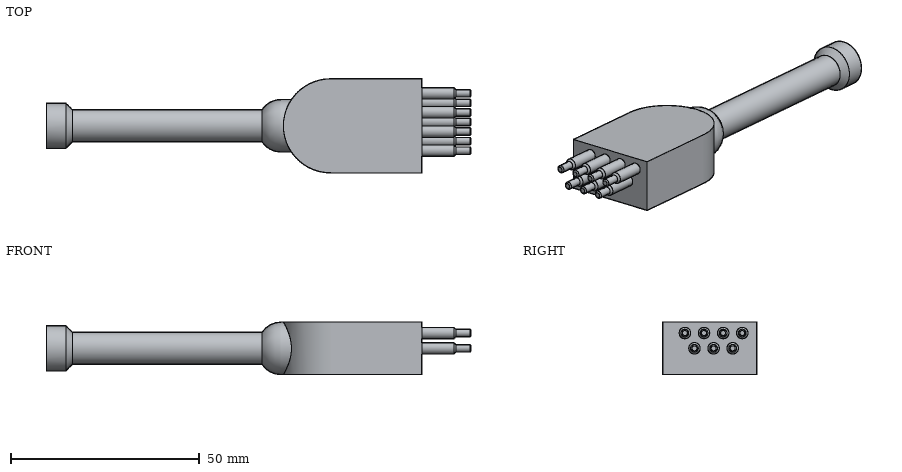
import cadquery as cq
import math

TOTAL_LENGTH = 112.5
BODY_END = 99.5

HEAD_DIAMETER = 12.0
HEAD_LENGTH = 5.2
SHAFT_DIAMETER = 8.5

BODY_WIDTH = 25.0
BODY_THICKNESS = 14.0
BODY_NOSE = 62.8

COLLAR_RADIUS = BODY_THICKNESS / 2
COLLAR_ROUND_RADIUS = 6.0
COLLAR_ROUND_END = 62.1

PIN_DIAMETER = 3.0
PIN_TIP_DIAMETER = 2.0
PIN_TIP_START = 108.5
PIN_SHOULDER_LENGTH = 0.6
PIN_TIP_CHAMFER = 0.3

PIN_PITCH = 5.1
PIN_ARRAY_Y = 1.0
UPPER_ROW_COUNT = 4
UPPER_ROW_Z = 4.0
LOWER_ROW_COUNT = 3
LOWER_ROW_Z = 0.0


def make_cable_side():
    """Head, shaft and collar, revolved in one piece about the X axis."""
    head_radius = HEAD_DIAMETER / 2
    shaft_radius = SHAFT_DIAMETER / 2
    head_cone_end = HEAD_LENGTH + head_radius - shaft_radius
    round_center_radius = COLLAR_RADIUS - COLLAR_ROUND_RADIUS
    start_angle = math.asin((shaft_radius - round_center_radius) / COLLAR_ROUND_RADIUS)
    mid_angle = (start_angle + math.pi / 2) / 2
    collar_start = COLLAR_ROUND_END - COLLAR_ROUND_RADIUS * math.cos(start_angle)
    collar_mid = (
        COLLAR_ROUND_END - COLLAR_ROUND_RADIUS * math.cos(mid_angle),
        round_center_radius + COLLAR_ROUND_RADIUS * math.sin(mid_angle),
    )
    collar_end = BODY_NOSE + BODY_WIDTH / 2
    return (
        cq.Workplane("XY")
        .lineTo(0, head_radius)
        .lineTo(HEAD_LENGTH, head_radius)
        .lineTo(head_cone_end, shaft_radius)
        .lineTo(collar_start, shaft_radius)
        .threePointArc(collar_mid, (COLLAR_ROUND_END, COLLAR_RADIUS))
        .lineTo(collar_end, COLLAR_RADIUS)
        .lineTo(collar_end, 0)
        .close()
        .revolve(360, (0, 0, 0), (1, 0, 0))
    )


def make_body():
    """Flat block whose shaft end is a full half circle."""
    half_width = BODY_WIDTH / 2
    nose_center = BODY_NOSE + half_width
    return (
        cq.Workplane("XY", origin=(0, 0, -BODY_THICKNESS / 2))
        .moveTo(BODY_END, half_width)
        .lineTo(nose_center, half_width)
        .threePointArc((BODY_NOSE, 0), (nose_center, -half_width))
        .lineTo(BODY_END, -half_width)
        .close()
        .extrude(BODY_THICKNESS)
    )


def make_pin(y, z):
    """Stepped pin along X with a conical shoulder and a chamfered tip."""
    pin_radius = PIN_DIAMETER / 2
    tip_radius = PIN_TIP_DIAMETER / 2
    profile = (
        cq.Workplane("XY", origin=(0, y, z))
        .moveTo(BODY_END, 0)
        .lineTo(BODY_END, pin_radius)
        .lineTo(PIN_TIP_START - PIN_SHOULDER_LENGTH, pin_radius)
        .lineTo(PIN_TIP_START, tip_radius)
        .lineTo(TOTAL_LENGTH - PIN_TIP_CHAMFER, tip_radius)
        .lineTo(TOTAL_LENGTH, tip_radius - PIN_TIP_CHAMFER)
        .lineTo(TOTAL_LENGTH, 0)
        .close()
    )
    return profile.revolve(360, (0, 0, 0), (1, 0, 0))


def add_pin_row(part, count, z):
    """Join a row of evenly spaced pins, centred on PIN_ARRAY_Y, to the part."""
    first_y = PIN_ARRAY_Y - PIN_PITCH * (count - 1) / 2
    for index in range(count):
        part = part.union(make_pin(first_y + index * PIN_PITCH, z))
    return part


result = make_body().union(make_cable_side())
result = add_pin_row(result, UPPER_ROW_COUNT, UPPER_ROW_Z)
result = add_pin_row(result, LOWER_ROW_COUNT, LOWER_ROW_Z)